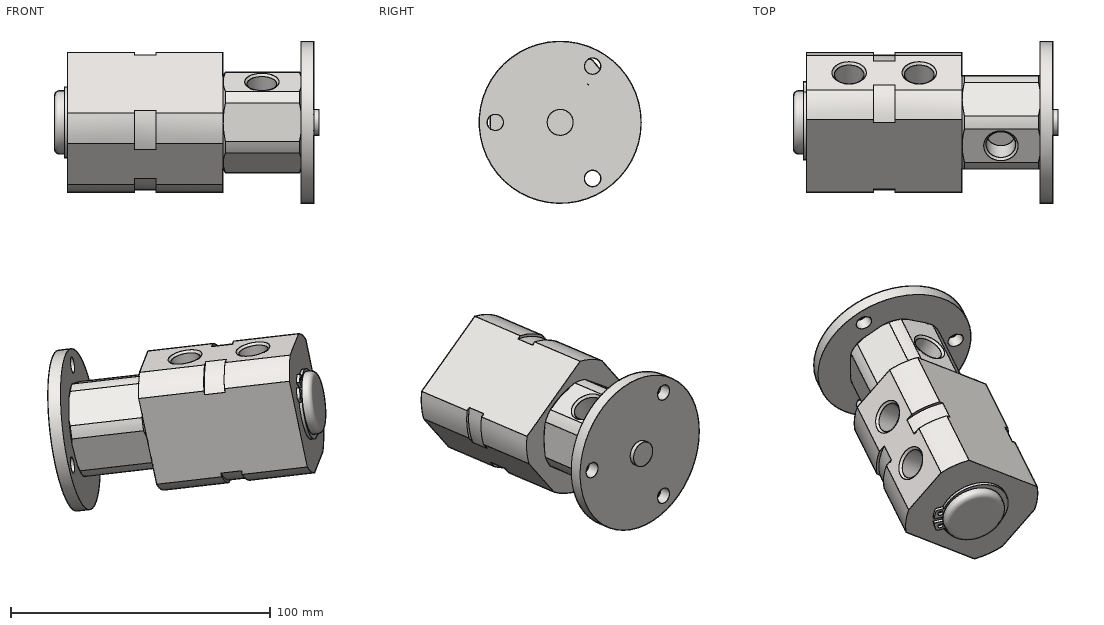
import cadquery as cq
import math


shaft_overhang = 5.0
housing_length = 60.0
hex_length = 30.0
flange_thickness = 5.1
pin_overhang = 1.9

housing_start = shaft_overhang
housing_middle = housing_start + housing_length / 2
hex_start = housing_start + housing_length
flange_start = hex_start + hex_length

housing_radius = 27.0
flat_to_axis = 20.0
port_flat_to_axis = 25.0
housing_tilt = 40.0
groove_radius = 26.0
groove_width = 8.2
port_spacing = 27.0

port_diameter = 11.4
port_mouth_diameter = 13.3
port_mouth_depth = (port_mouth_diameter - port_diameter) / 2
hex_port_depth = 10.0
hex_port_tilt = 30.0

shaft_diameter = 24.5
shaft_end_fillet = 2.0
ring_groove_diameter = 23.0
hex_sides = 6
hex_across_flats = 36.0
hex_corner_radius = 19.5
hex_inner_end_radius = 17.8
hex_flange_end_radius = 18.6
hex_chamfer_angle = 30.0
hex_chamfer_slope = math.tan(math.radians(hex_chamfer_angle))

ring_thickness = 1.2
ring_outer_radius = 13.7
ring_offset = 0.8
lug_radius = 15.8
lug_pair_width = 10.8
lug_corner_fillet = 1.0
lug_gap = 2.2
lug_hole_diameter = 2.0
lug_hole_to_axis = 13.2
lug_hole_spacing = 6.7
ring_start = housing_start - ring_thickness

flange_diameter = 62.5
flange_hole_diameter = 6.2
flange_hole_circle_radius = 25.0
flange_hole_count = 3
first_flange_hole_angle = 180.0
pin_diameter = 10.0

cutter_margin = 1.0


def across(x):
    """Workplane across the axis at x, with local x along Y and local y along Z."""
    return cq.Workplane("YZ", origin=(x, 0, 0))


def turned(profile):
    """Solid turned about the X axis from a closed outline of (x, radius) points."""
    return cq.Workplane("XY").polyline(profile).close().revolve(360, (0, 0, 0), (1, 0, 0))


def cylinder(start, length, diameter):
    """Cylinder on the X axis."""
    return across(start).circle(diameter / 2).extrude(length)


def port_cutter(depth):
    """Port hole going down from the origin, with a countersunk mouth."""
    hole_radius = port_diameter / 2
    mouth_radius = port_mouth_diameter / 2
    return (
        cq.Workplane("XZ")
        .polyline([
            (0, 0),
            (mouth_radius, 0),
            (hole_radius, -port_mouth_depth),
            (hole_radius, -depth),
            (0, -depth),
        ])
        .close()
        .revolve(360, (0, 0, 0), (0, 1, 0))
    )


def make_housing():
    bar = cylinder(housing_start, housing_length, 2 * housing_radius)
    flats = across(housing_start).rect(2 * port_flat_to_axis, 2 * flat_to_axis).extrude(housing_length)
    body = bar.intersect(flats)

    groove = (
        across(housing_middle - groove_width / 2)
        .circle(housing_radius + cutter_margin)
        .circle(groove_radius)
        .extrude(groove_width)
    )
    body = body.cut(groove)

    for side in (-1, 1):
        port = (
            port_cutter(port_flat_to_axis)
            .rotate((0, 0, 0), (1, 0, 0), -90)
            .translate((housing_middle + side * port_spacing / 2, port_flat_to_axis, 0))
        )
        body = body.cut(port)

    bore = cylinder(housing_start, housing_length, shaft_diameter)
    return body.cut(bore).rotate((0, 0, 0), (1, 0, 0), housing_tilt)


def make_hex_end():
    """Hexagon with rounded corners, chamfered ends and one blind port."""
    hexagon = (
        across(hex_start)
        .polygon(hex_sides, hex_across_flats, circumscribed=True)
        .extrude(hex_length)
    )
    inner_chamfer = (hex_corner_radius - hex_inner_end_radius) * hex_chamfer_slope
    flange_chamfer = (hex_corner_radius - hex_flange_end_radius) * hex_chamfer_slope
    envelope = turned([
        (hex_start, 0),
        (hex_start, hex_inner_end_radius),
        (hex_start + inner_chamfer, hex_corner_radius),
        (flange_start - flange_chamfer, hex_corner_radius),
        (flange_start, hex_flange_end_radius),
        (flange_start, 0),
    ])
    port = (
        port_cutter(hex_port_depth)
        .translate((hex_start + hex_length / 2, 0, hex_across_flats / 2))
        .rotate((0, 0, 0), (1, 0, 0), hex_port_tilt)
    )
    return hexagon.intersect(envelope).cut(port)


def make_rotor():
    shaft = cylinder(0, hex_start, shaft_diameter).faces("<X").edges().fillet(shaft_end_fillet)
    ring_groove = (
        across(ring_start)
        .circle(shaft_diameter / 2 + cutter_margin)
        .circle(ring_groove_diameter / 2)
        .extrude(ring_thickness)
    )
    return shaft.cut(ring_groove).union(make_hex_end())


def make_retaining_ring():
    band = across(ring_start).center(-ring_offset, 0).circle(ring_outer_radius).extrude(ring_thickness)
    lug_block = (
        across(ring_start)
        .center(lug_radius / 2, 0)
        .rect(lug_radius, lug_pair_width)
        .extrude(ring_thickness)
    )
    lugs = cylinder(ring_start, ring_thickness, 2 * lug_radius).intersect(lug_block)
    outer_corners = cq.selectors.BoxSelector(
        (ring_start, ring_outer_radius, -lug_radius),
        (housing_start, lug_radius, lug_radius),
    )
    lugs = lugs.edges("|X").edges(outer_corners).fillet(lug_corner_fillet)

    gap = across(ring_start).center(lug_radius, 0).rect(2 * lug_radius, lug_gap).extrude(ring_thickness)
    lug_holes = (
        across(ring_start)
        .pushPoints([(lug_hole_to_axis, side * lug_hole_spacing / 2) for side in (-1, 1)])
        .circle(lug_hole_diameter / 2)
        .extrude(ring_thickness)
    )
    seat = cylinder(ring_start, ring_thickness, ring_groove_diameter)
    return band.union(lugs).cut(seat).cut(gap).cut(lug_holes)


def make_flange():
    bolt_holes = (
        across(flange_start)
        .polarArray(flange_hole_circle_radius, first_flange_hole_angle, 360, flange_hole_count)
        .circle(flange_hole_diameter / 2)
        .extrude(flange_thickness)
    )
    pin_hole = cylinder(flange_start, flange_thickness, pin_diameter)
    return cylinder(flange_start, flange_thickness, flange_diameter).cut(bolt_holes).cut(pin_hole)


def make_pin():
    return cylinder(flange_start, flange_thickness + pin_overhang, pin_diameter)


housing = make_housing()
rotor = make_rotor()
retaining_ring = make_retaining_ring()
flange = make_flange()
pin = make_pin()

result = cq.Compound.makeCompound([
    housing.val(),
    rotor.val(),
    retaining_ring.val(),
    flange.val(),
    pin.val(),
])